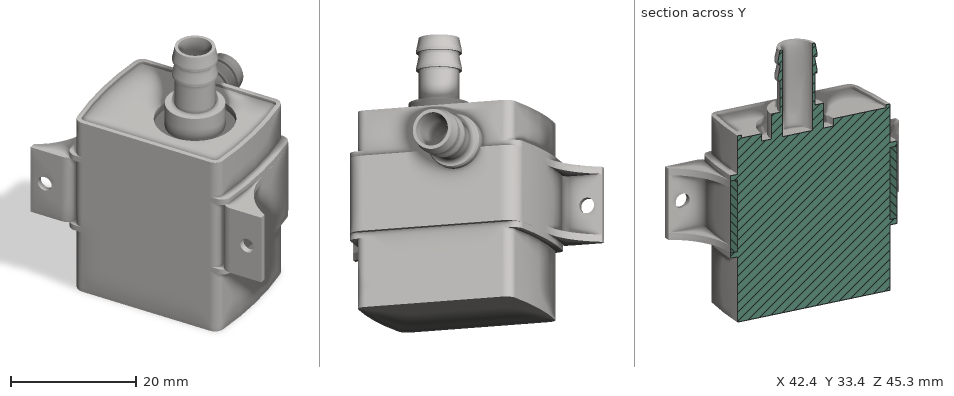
import cadquery as cq
import math


HOUSING_HALF_WIDTH = 14.05
HOUSING_DEPTH = 21.4
HOUSING_HEIGHT = 32.12
MID_Y = HOUSING_DEPTH / 2
SIDE_RADIUS = 63.45
CORNER_RADIUS = 1.65
LIP_WIDTH = 0.75
LIP_DEPTH = 0.5

SIDE_WALL = 1.3
BACK_WALL = 1.15
STRAP_HALF_WIDTH = HOUSING_HALF_WIDTH + SIDE_WALL
STRAP_BOTTOM = 12.25
STRAP_HEIGHT = 12.3
STRAP_TOP = STRAP_BOTTOM + STRAP_HEIGHT
STRAP_MID_Z = STRAP_BOTTOM + STRAP_HEIGHT / 2
STRAP_BACK = HOUSING_DEPTH + BACK_WALL
STRAP_CORNER_RADIUS = 2.85
RIM_HEIGHT = 1.0

FOOT_HALF_SPAN = 21.2
FOOT_THICKNESS = 1.05
FOOT_INNER_ROUND = 2.0
GUSSET_THICKNESS = 1.2
POCKET_FILLET = 0.95
SCREW_HOLE_RADIUS = 1.25
SCREW_HOLE_X = 18.58

PIPE_RADIUS = 3.25
BARB_RADIUS = 3.65
BORE_RADIUS = 2.7
BARB_PITCH = 2.85
BARB_CONE = 2.0
BARB_LAND = 0.45
BARB_COUNT = 2

INLET_X = 3.0
INLET_TIP = 45.3
INLET_COLLAR_RADIUS = 4.85
INLET_COLLAR_TOP = 34.65
INLET_WELL_RADIUS = 6.6
INLET_WELL_DEPTH = 1.25
WELL_FLOOR = HOUSING_HEIGHT - LIP_DEPTH - INLET_WELL_DEPTH

OUTLET_X = -4.15
OUTLET_Z = 25.6
OUTLET_TIP = 33.35
OUTLET_COLLAR_RADIUS = 4.4
OUTLET_COLLAR_END = 23.92
OUTLET_ROOT = HOUSING_DEPTH - LIP_WIDTH
COLLAR_CHAMFER_LENGTH = 0.45
COLLAR_CHAMFER_WIDTH = 0.2
NECK_FILLET = 0.72


def side_x(half_width, y):
    """Half width at depth y of a side wall that bulges to half_width at mid depth."""
    return half_width - SIDE_RADIUS + math.sqrt(SIDE_RADIUS**2 - (y - MID_Y)**2)


def bulged_block(half_width, front, back, bottom, height):
    """Block with flat front and back and bulged side walls."""
    front_x = side_x(half_width, front)
    back_x = side_x(half_width, back)
    return (
        cq.Workplane("XY", origin=(0, 0, bottom))
        .moveTo(-front_x, front)
        .lineTo(front_x, front)
        .threePointArc((half_width, MID_Y), (back_x, back))
        .lineTo(-back_x, back)
        .threePointArc((-half_width, MID_Y), (-front_x, front))
        .close()
        .extrude(height)
    )


def housing_block(half_width, bottom, height):
    """Bulged block of the full housing depth with rounded corners."""
    block = bulged_block(half_width, 0, HOUSING_DEPTH, bottom, height)
    return block.edges("|Z").fillet(CORNER_RADIUS)


def barbed_pipe(root, tip):
    """Solid barbed pipe along +Z from root to tip."""
    profile = cq.Workplane("XZ").moveTo(0, tip)
    for barb in range(BARB_COUNT):
        start = tip - barb * BARB_PITCH
        land = start - BARB_CONE
        profile = (
            profile.lineTo(PIPE_RADIUS, start)
            .lineTo(BARB_RADIUS, land)
            .lineTo(BARB_RADIUS, land - BARB_LAND)
            .lineTo(PIPE_RADIUS, land - BARB_LAND)
        )
    profile = profile.lineTo(PIPE_RADIUS, root).lineTo(0, root).close()
    return profile.revolve(360, (0, 0, 0), (0, 1, 0))


def along_z(radius, bottom, top):
    """Cylinder on the Z axis."""
    return cq.Workplane("XY", origin=(0, 0, bottom)).circle(radius).extrude(top - bottom)


def place_inlet(shape):
    """Move a shape from the Z axis to the inlet axis."""
    return shape.translate((INLET_X, MID_Y, 0))


def place_outlet(shape):
    """Turn a shape from the Z axis to the outlet axis, so its Z becomes Y."""
    turned = shape.rotate((0, 0, 0), (1, 0, 0), -90)
    return turned.translate((OUTLET_X, 0, OUTLET_Z))


def make_inlet():
    collar = along_z(INLET_COLLAR_RADIUS, WELL_FLOOR, INLET_COLLAR_TOP)
    return place_inlet(collar.union(barbed_pipe(WELL_FLOOR, INLET_TIP)))


def outlet_collar():
    """Outlet collar with a chamfered end, starting inside the housing wall."""
    collar = along_z(OUTLET_COLLAR_RADIUS, OUTLET_ROOT, OUTLET_COLLAR_END)
    return collar.faces(">Z").chamfer(COLLAR_CHAMFER_LENGTH, COLLAR_CHAMFER_WIDTH)


def make_outlet():
    neck_end = OUTLET_COLLAR_END + NECK_FILLET
    neck_radius = PIPE_RADIUS + NECK_FILLET
    neck_mid = NECK_FILLET * (1 - math.sqrt(0.5))
    neck = (
        cq.Workplane("XZ")
        .moveTo(0, OUTLET_COLLAR_END)
        .lineTo(neck_radius, OUTLET_COLLAR_END)
        .threePointArc(
            (PIPE_RADIUS + neck_mid, OUTLET_COLLAR_END + neck_mid),
            (PIPE_RADIUS, neck_end),
        )
        .lineTo(0, neck_end)
        .close()
        .revolve(360, (0, 0, 0), (0, 1, 0))
    )
    pipe = barbed_pipe(OUTLET_ROOT, OUTLET_TIP)
    return place_outlet(outlet_collar().union(neck).union(pipe))


def make_housing():
    body = housing_block(HOUSING_HALF_WIDTH, 0, HOUSING_HEIGHT)

    for bottom in (STRAP_BOTTOM - RIM_HEIGHT, STRAP_TOP):
        body = body.union(housing_block(STRAP_HALF_WIDTH, bottom, RIM_HEIGHT))

    lip_floor = HOUSING_HEIGHT - LIP_DEPTH
    recess = (
        body.faces(">Z").wires().toPending()
        .workplane().offset2D(-LIP_WIDTH)
        .extrude(-LIP_DEPTH, combine=False)
    )
    body = body.cut(recess)

    body = body.cut(place_inlet(along_z(INLET_WELL_RADIUS, WELL_FLOOR, lip_floor)))

    body = body.union(make_inlet()).union(make_outlet())
    body = body.cut(place_inlet(along_z(BORE_RADIUS, WELL_FLOOR, INLET_TIP)))
    return body.cut(place_outlet(along_z(BORE_RADIUS, HOUSING_DEPTH, OUTLET_TIP)))


def make_foot():
    """Right-hand foot: a plate with a flared gusset at each end and a screw hole."""
    reach = FOOT_HALF_SPAN - STRAP_HALF_WIDTH
    drop = MID_Y - FOOT_THICKNESS
    flare_radius = (reach**2 + drop**2) / (2 * reach)
    half_angle = math.asin(drop / flare_radius) / 2
    flare_mid = (
        STRAP_HALF_WIDTH + flare_radius * (1 - math.cos(half_angle)),
        MID_Y - flare_radius * math.sin(half_angle),
    )
    foot = (
        cq.Workplane("XY", origin=(0, 0, STRAP_BOTTOM))
        .lineTo(FOOT_HALF_SPAN, 0)
        .lineTo(FOOT_HALF_SPAN, FOOT_THICKNESS)
        .threePointArc(flare_mid, (STRAP_HALF_WIDTH, MID_Y))
        .lineTo(0, MID_Y)
        .close()
        .extrude(STRAP_HEIGHT)
    )

    pocket_bottom = STRAP_BOTTOM + GUSSET_THICKNESS
    pocket_height = STRAP_HEIGHT - 2 * GUSSET_THICKNESS
    pocket = (
        cq.Workplane("XY", origin=(0, 0, pocket_bottom))
        .moveTo(side_x(STRAP_HALF_WIDTH, FOOT_THICKNESS), FOOT_THICKNESS)
        .lineTo(FOOT_HALF_SPAN, FOOT_THICKNESS)
        .lineTo(FOOT_HALF_SPAN, MID_Y)
        .lineTo(STRAP_HALF_WIDTH, MID_Y)
        .threePointArc(
            (side_x(STRAP_HALF_WIDTH, MID_Y / 2), MID_Y / 2),
            (side_x(STRAP_HALF_WIDTH, FOOT_THICKNESS), FOOT_THICKNESS),
        )
        .close()
        .extrude(pocket_height)
        .edges("|Z and <X and <Y")
        .fillet(POCKET_FILLET)
    )

    screw_hole = (
        cq.Workplane("XZ", origin=(SCREW_HOLE_X, 0, STRAP_MID_Z))
        .circle(SCREW_HOLE_RADIUS)
        .extrude(-FOOT_THICKNESS)
    )
    return foot.cut(pocket).cut(screw_hole)


def make_strap():
    band = bulged_block(STRAP_HALF_WIDTH, 0, STRAP_BACK, STRAP_BOTTOM, STRAP_HEIGHT)
    band = band.edges("|Z and >Y").fillet(STRAP_CORNER_RADIUS)
    foot = make_foot()
    strap = band.union(foot).union(foot.mirror("YZ"))

    opening = bulged_block(HOUSING_HALF_WIDTH, 0, HOUSING_DEPTH, STRAP_BOTTOM, STRAP_HEIGHT)
    strap = strap.cut(opening.edges("|Z and >Y").fillet(CORNER_RADIUS))

    inner_x = side_x(HOUSING_HALF_WIDTH, 0)
    for side in (-1, 1):
        edge = cq.selectors.NearestToPointSelector((side * inner_x, 0, STRAP_MID_Z))
        strap = strap.edges("|Z").edges(edge).fillet(FOOT_INNER_ROUND)

    collar_hole = along_z(OUTLET_COLLAR_RADIUS, HOUSING_DEPTH, STRAP_BACK)
    return strap.cut(place_outlet(collar_hole))


housing = make_housing()
strap = make_strap()

result = cq.Compound.makeCompound([housing.solids().val(), strap.solids().val()])